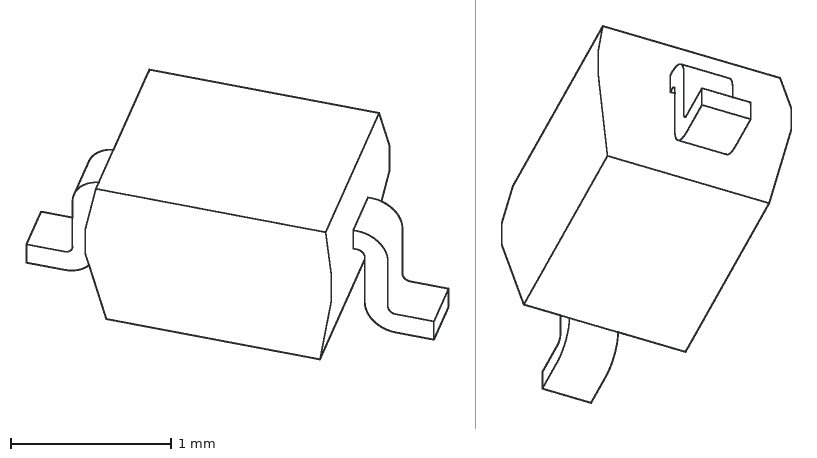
import cadquery as cq
import math

overall_length = 2.65
housing_length = 1.6
housing_width = 1.3
housing_height = 1.1

belt_bottom = 0.6
belt_height = 0.2
draft_angle = 10.0
belt_top = belt_bottom + belt_height

lead_width = 0.329
lead_thickness = 0.15
inner_bend_radius = 0.05
foot_length = 0.3
outer_bend_radius = inner_bend_radius + lead_thickness
lead_top = belt_bottom + (belt_height + lead_thickness) / 2
lead_bottom_of_arm = lead_top - lead_thickness


def drafted_block(base_z, height):
    """Frustum that starts at the full housing outline and narrows away from base_z."""
    inset = abs(height) * math.tan(math.radians(draft_angle))
    return (
        cq.Workplane("XY", origin=(0, 0, base_z))
        .rect(housing_length, housing_width)
        .workplane(offset=height)
        .rect(housing_length - 2 * inset, housing_width - 2 * inset)
        .loft(ruled=True)
    )


def make_housing():
    """Belt plus the two drafted halves, joined into one solid."""
    belt = (
        cq.Workplane("XY", origin=(0, 0, belt_bottom))
        .rect(housing_length, housing_width)
        .extrude(belt_height)
    )
    upper_half = drafted_block(belt_top, housing_height - belt_top)
    lower_half = drafted_block(belt_bottom, -belt_bottom)
    return belt.union(upper_half).union(lower_half).solids()


def make_lead(side):
    """Gull-wing lead from the belt face to its foot; side is -1 or +1 along X."""
    tip_x = side * overall_length / 2
    face_x = side * housing_length / 2
    upright_outer_x = tip_x - side * foot_length
    upright_inner_x = upright_outer_x - side * lead_thickness

    upper_bend_x = upright_inner_x - side * inner_bend_radius
    upper_bend_z = lead_bottom_of_arm - inner_bend_radius
    lower_bend_x = upright_outer_x + side * inner_bend_radius
    lower_bend_z = lead_thickness + inner_bend_radius

    def bend_middle(center_x, center_z, radius, direction):
        reach = radius * math.sqrt(0.5)
        return (center_x + direction * side * reach, center_z + direction * reach)

    return (
        cq.Workplane("XZ")
        .moveTo(face_x, lead_top)
        .lineTo(upper_bend_x, lead_top)
        .threePointArc(
            bend_middle(upper_bend_x, upper_bend_z, outer_bend_radius, 1),
            (upright_outer_x, upper_bend_z),
        )
        .lineTo(upright_outer_x, lower_bend_z)
        .threePointArc(
            bend_middle(lower_bend_x, lower_bend_z, inner_bend_radius, -1),
            (lower_bend_x, lead_thickness),
        )
        .lineTo(tip_x, lead_thickness)
        .lineTo(tip_x, 0)
        .lineTo(lower_bend_x, 0)
        .threePointArc(
            bend_middle(lower_bend_x, lower_bend_z, outer_bend_radius, -1),
            (upright_inner_x, lower_bend_z),
        )
        .lineTo(upright_inner_x, upper_bend_z)
        .threePointArc(
            bend_middle(upper_bend_x, upper_bend_z, inner_bend_radius, 1),
            (upper_bend_x, lead_bottom_of_arm),
        )
        .lineTo(face_x, lead_bottom_of_arm)
        .close()
        .extrude(lead_width / 2, both=True)
    )


housing = make_housing()
leads = [make_lead(side) for side in (-1, 1)]

result = cq.Compound.makeCompound([housing.val(), *[lead.val() for lead in leads]])